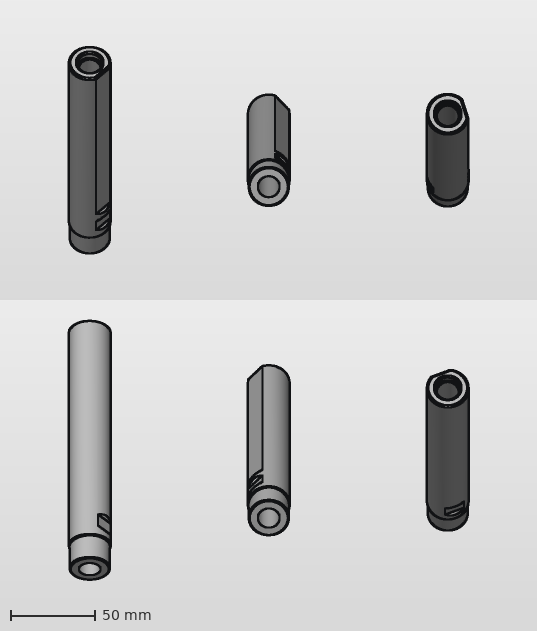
import cadquery as cq

length = 170.5
body_radius = 25.0 / 2
top_chamfer = 1.0

spigot_radius = 24.0 / 2
spigot_length = 16.9
spigot_chamfer = 0.7
shoulder_bevel = 0.9

bore_radius = 13.0 / 2
counterbore_radius = 14.5 / 2
counterbore_depth = 4.8
mouth_chamfer = 1.0

flat_distance = 10.9
flat_depth = body_radius - flat_distance
pocket_center = 27.5
pocket_floor_length = 8.0
long_flat_bottom = 38.9


def make_tube():
    """Revolve the outer profile about Z."""
    profile = [
        (0, 0),
        (spigot_radius - spigot_chamfer, 0),
        (spigot_radius, spigot_chamfer),
        (spigot_radius, spigot_length - shoulder_bevel),
        (body_radius, spigot_length),
        (body_radius, length),
        (0, length),
    ]
    return cq.Workplane("XZ").polyline(profile).close().revolve(360, (0, 0), (0, 1))


def make_bore():
    """Through bore with a chamfered, 45 degree conical-floored counterbore at the top."""
    counterbore_floor = length - counterbore_depth
    floor_drop = counterbore_radius - bore_radius
    profile = [
        (0, 0),
        (bore_radius, 0),
        (bore_radius, counterbore_floor - floor_drop),
        (counterbore_radius, counterbore_floor),
        (counterbore_radius, length - mouth_chamfer),
        (counterbore_radius + mouth_chamfer, length),
        (0, length),
    ]
    return cq.Workplane("XZ").polyline(profile).close().revolve(360, (0, 0), (0, 1))


def extrude_across(profile):
    """Extrude an XZ profile across the full width of the tube."""
    return cq.Workplane("XZ").polyline(profile).close().extrude(body_radius, both=True)


def make_pocket(side):
    """Wrench pocket with 45 degree end walls; side is +1 or -1 along X."""
    floor_half = pocket_floor_length / 2
    mouth_half = floor_half + flat_depth
    return extrude_across([
        (side * flat_distance, pocket_center - floor_half),
        (side * body_radius, pocket_center - mouth_half),
        (side * body_radius, pocket_center + mouth_half),
        (side * flat_distance, pocket_center + floor_half),
    ])


def make_long_flat():
    """Flat on the +X side, running out at 45 degrees at its lower end."""
    return extrude_across([
        (flat_distance, long_flat_bottom),
        (body_radius, long_flat_bottom - flat_depth),
        (body_radius, length),
        (flat_distance, length),
    ])


result = make_tube().cut(make_long_flat())
result = result.faces(">Z").edges().chamfer(top_chamfer)
for pocket_side in (-1, 1):
    result = result.cut(make_pocket(pocket_side))
result = result.cut(make_bore())